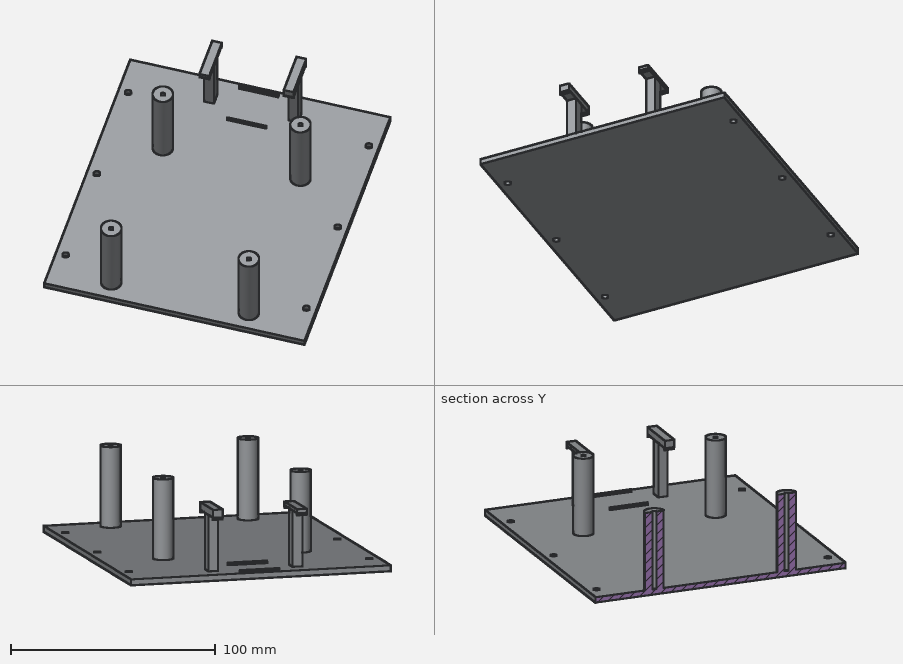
import cadquery as cq

plate_width = 132.5
plate_length = 150.0
plate_thickness = 3.0

mounting_hole_diameter = 3.2
mounting_hole_inset = 5.0
mounting_hole_pitch = 54.5
mounting_hole_x = plate_width / 2 - mounting_hole_inset

standoff_diameter = 10.0
standoff_bore = 2.0
standoff_height = 40.0
standoff_pitch_x = 70.0
standoff_pitch_y = 90.0
standoff_edge_gap = 10.0
standoff_x = standoff_pitch_x / 2
standoff_front_y = standoff_edge_gap - plate_length / 2
standoff_rear_y = standoff_front_y + standoff_pitch_y

ridge_width = 1.2
ridge_height = 1.2
ridge_side_height = ridge_height / 2
ridge_spacing = 21.0
plate_ridge_length = 20.0

clamp_edge_gap = 1.8
bar_width = 5.0
bar_length = 22.4
clamp_x = 21.5
clamp_y = plate_length / 2 - clamp_edge_gap - bar_length / 2
post_length = 6.0
post_height = 28.0
post_offset_y = 0.2
thin_bar_thickness = 2.0
thick_bar_thickness = 3.9

post_top = plate_thickness + post_height
ridge_ys = [clamp_y - ridge_spacing / 2, clamp_y + ridge_spacing / 2]


def make_ridge(x, y, z, length, direction):
    """Peaked ridge along X, centred on x; direction is 1 for upward, -1 for downward."""
    half_width = ridge_width / 2
    outline = [
        (-half_width, 0),
        (half_width, 0),
        (half_width, direction * ridge_side_height),
        (0, direction * ridge_height),
        (-half_width, direction * ridge_side_height),
    ]
    return (
        cq.Workplane("YZ", origin=(x - length / 2, y, z))
        .polyline(outline)
        .close()
        .extrude(length)
    )


def make_plate():
    """Plate with three mounting holes along each side."""
    hole_points = [
        (x, y)
        for x in (-mounting_hole_x, mounting_hole_x)
        for y in (-mounting_hole_pitch, 0, mounting_hole_pitch)
    ]
    return (
        cq.Workplane("XY")
        .rect(plate_width, plate_length)
        .extrude(plate_thickness)
        .faces(">Z")
        .workplane(origin=(0, 0, plate_thickness))
        .pushPoints(hole_points)
        .hole(mounting_hole_diameter)
    )


def make_standoffs():
    """Four tubes standing on the plate."""
    standoff_points = [
        (x, y)
        for x in (-standoff_x, standoff_x)
        for y in (standoff_front_y, standoff_rear_y)
    ]
    return (
        cq.Workplane("XY", origin=(0, 0, plate_thickness))
        .pushPoints(standoff_points)
        .circle(standoff_diameter / 2)
        .pushPoints(standoff_points)
        .circle(standoff_bore / 2)
        .extrude(standoff_height)
    )


def make_posts():
    """Two upright posts, one under each clamp bar."""
    post_y = clamp_y + post_offset_y
    return (
        cq.Workplane("XY", origin=(0, 0, plate_thickness))
        .pushPoints([(-clamp_x, post_y), (clamp_x, post_y)])
        .rect(bar_width, post_length)
        .extrude(post_height)
    )


def make_base():
    """Plate with its standoffs, posts and ridges, all one solid."""
    base = make_plate().union(make_standoffs()).union(make_posts())
    for y in ridge_ys:
        base = base.union(make_ridge(0, y, plate_thickness, plate_ridge_length, 1))
    return base


def make_clamp_bar(x, thickness):
    """Bar resting on a post, with a downward ridge at each end."""
    bar = (
        cq.Workplane("XY", origin=(x, clamp_y, post_top))
        .rect(bar_width, bar_length)
        .extrude(thickness)
    )
    for y in ridge_ys:
        bar = bar.union(make_ridge(x, y, post_top, bar_width, -1))
    return bar


base = make_base()
clamp_bars = [
    make_clamp_bar(x, thickness)
    for x, thickness in ((-clamp_x, thin_bar_thickness), (clamp_x, thick_bar_thickness))
]

result = cq.Compound.makeCompound([base.val(), *[bar.val() for bar in clamp_bars]])